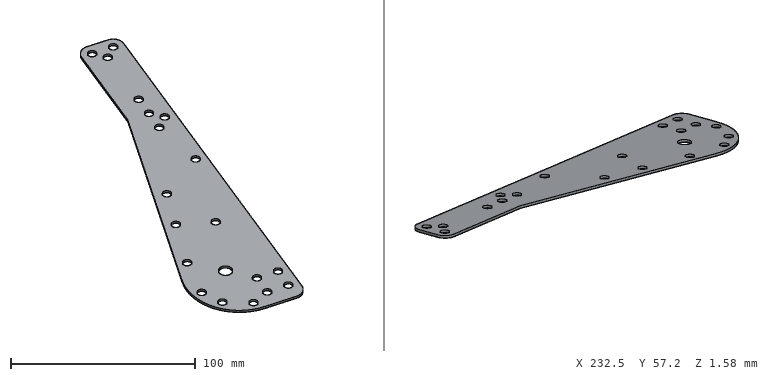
import cadquery as cq
import math

length = 232.5
thickness = 1.58
pitch = 232.5 / 18.3
edge_margin = pitch / 2
hole_diameter = 5.0
pivot_diameter = 7.7

arm_width = 2 * pitch
arm_length = 5 * pitch
corner_radius = pitch / 2
nose_radius = 2.5 * pitch
nose_x = length - nose_radius
nose_y = -arm_width

grid_holes = [
    (0, 0), (5, 0), (8, 0), (16, 0), (17, 0),
    (0.5, 0.5), (3.5, 0.5), (4.5, 0.5), (5.5, 0.5),
    (0, 1), (12, 1), (16, 1), (17, 1),
]
pivot_column = 15
pivot_row = 2

row_start_x = 126.7
row_start_y = -32.8
row_angle = math.radians(-15)
row_distances = [0, 2 * pitch, 4.5 * pitch]

nose_hole_radius = 26.5
nose_hole_angles = [-9, -46, -76]


def polar_point(x, y, distance, angle):
    return (x + distance * math.cos(angle), y + distance * math.sin(angle))


def grid_point(column, row):
    return (edge_margin + column * pitch, -edge_margin - row * pitch)


def make_plate():
    slope = math.asin(nose_radius / (nose_x - arm_length))
    tangent_point = polar_point(nose_x, nose_y, nose_radius, -math.pi / 2 - slope)
    arc_middle = polar_point(nose_x, nose_y, nose_radius, -math.pi / 4)
    plate = (
        cq.Workplane("XY")
        .lineTo(length, 0)
        .lineTo(length, nose_y)
        .threePointArc(arc_middle, tangent_point)
        .lineTo(arm_length, -arm_width)
        .lineTo(0, -arm_width)
        .close()
        .extrude(thickness)
    )
    left_corners = plate.edges("|Z and <X")
    top_right_corner = plate.edges(cq.selectors.NearestToPointSelector((length, 0, thickness / 2)))
    return plate.newObject(left_corners.vals() + top_right_corner.vals()).fillet(corner_radius)


def make_holes(points, diameter):
    return cq.Workplane("XY").pushPoints(points).circle(diameter / 2).extrude(thickness)


small_hole_points = [grid_point(column, row) for column, row in grid_holes]
small_hole_points += [
    polar_point(row_start_x, row_start_y, distance, row_angle) for distance in row_distances
]
small_hole_points += [
    polar_point(nose_x, nose_y, nose_hole_radius, math.radians(angle)) for angle in nose_hole_angles
]

result = make_plate()
result = result.cut(make_holes(small_hole_points, hole_diameter))
result = result.cut(make_holes([grid_point(pivot_column, pivot_row)], pivot_diameter))